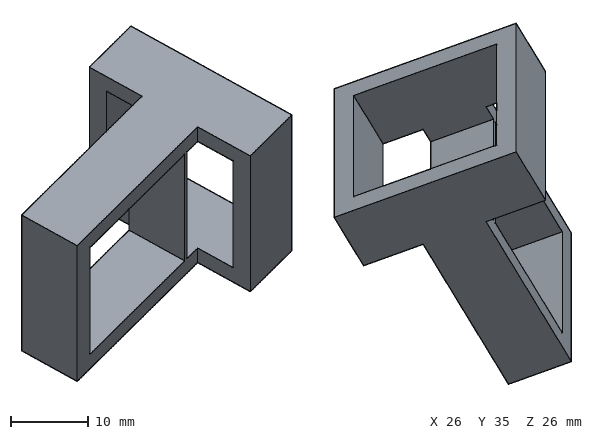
import cadquery as cq

total_depth = 35.0
frame_size = 26.0
frame_width = total_depth - frame_size
wall = 2.8
web_thickness = 0.52

opening = frame_size - 2 * wall
stem_length = total_depth - frame_width
web_front = wall + opening


def centred_box(x_size, y_start, y_end, z_size):
    """Box centred on X and Z, spanning the given Y range."""
    y_size = y_end - y_start
    y_middle = (y_start + y_end) / 2
    return cq.Workplane("XY").box(x_size, y_size, z_size).translate((0, y_middle, 0))


crossbar = centred_box(frame_size, stem_length, total_depth, frame_size)
stem = centred_box(frame_width, 0, stem_length, frame_size)
body = crossbar.union(stem)

crossbar_window = centred_box(opening, stem_length, total_depth, opening)

stem_window = centred_box(frame_width, wall, stem_length, opening)

web = centred_box(frame_width, web_front, web_front + web_thickness, opening)

result = body.cut(crossbar_window).cut(stem_window).union(web)